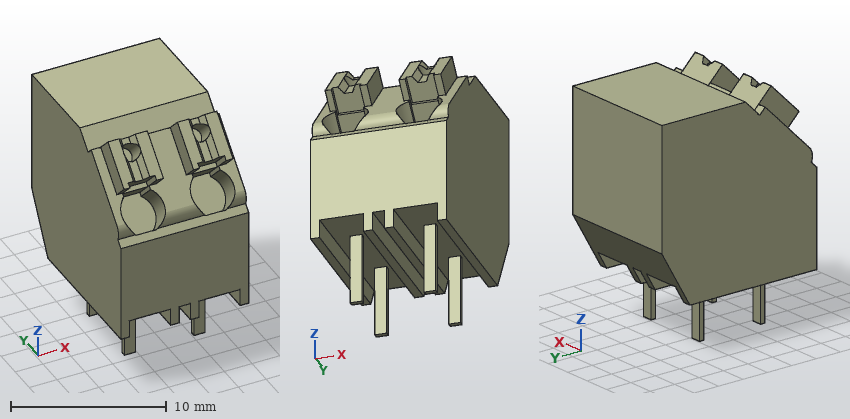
import cadquery as cq
import math


POLE_PITCH = 5.0
POLE_COUNT = 2
POLE_WIDTH = 4.2
POLE_LEFTS = [pole * POLE_PITCH for pole in range(POLE_COUNT)]
WIDTH = POLE_LEFTS[-1] + POLE_WIDTH

DEPTH = 12.7
HEIGHT = 12.86
FRONT_HEIGHT = 7.03
REAR_CHAMFER_DEPTH = 2.3
REAR_CHAMFER_HEIGHT = 4.05
FOOT_WIDTH = 0.62
FOOT_HEIGHT = 1.25
LIP_SETBACK = 0.43
LIP_FRONT = 0.35
LIP_NOSE_HEIGHT = 7.8

SLOPE = math.sqrt(0.5)
STEP_HEIGHT = 0.63
FACE_LENGTH = 5.23

BUTTON_TOP_Y = 3.2
BUTTON_TOP_Z = 13.16
BUTTON_CENTER = 2.1
BUTTON_WIDTH = 2.83
BUTTON_LENGTH = 3.25
BUTTON_RISE = 1.45
NOTCH_WIDTH = 1.92
NOTCH_LENGTH = 0.33
NOTCH_SINK = 0.32
GROOVE_CENTER = 2.07
GROOVE_TOP_WIDTH = 1.17
GROOVE_FLOOR_WIDTH = 0.55
GROOVE_DEPTH = 0.48
SOCKET_DIAMETER = 1.2
SOCKET_SETBACK = 0.98
SOCKET_DEPTH = 1.75

ENTRY_CENTER = 2.05
ENTRY_DIAMETER = 3.03
ENTRY_DROP = 4.7
ENTRY_FLAT_DROP = 6.03
ENTRY_DEPTH = 1.88

PIN_CENTER = 2.12
PIN_WIDTH = 0.8
PIN_THICKNESS = 0.37
OVERALL_HEIGHT = 16.66
PIN_BOTTOM = BUTTON_TOP_Z - OVERALL_HEIGHT
PIN_ROWS = [3.07, 8.06]

STEP_TOP_Y = BUTTON_TOP_Y + BUTTON_RISE * SLOPE
STEP_TOP_Z = BUTTON_TOP_Z - BUTTON_RISE * SLOPE
STEP_FOOT_Y = STEP_TOP_Y + STEP_HEIGHT * SLOPE
STEP_FOOT_Z = STEP_TOP_Z - STEP_HEIGHT * SLOPE
LIP_START_Y = STEP_TOP_Y - FACE_LENGTH * SLOPE
LIP_START_Z = STEP_TOP_Z - FACE_LENGTH * SLOPE
TOP_FRONT_Y = STEP_FOOT_Y + HEIGHT - STEP_FOOT_Z


def face_plane(x, height=0.0):
    """Plane parallel to the operating face, its origin at the step and its Y axis up the slope."""
    origin = (x, STEP_TOP_Y - height * SLOPE, STEP_TOP_Z + height * SLOPE)
    return cq.Workplane(cq.Plane(origin=origin, xDir=(1, 0, 0), normal=(0, -1, 1)))


def face_block(x, width, low, high, bottom, top):
    """Block centred on x, between two distances along the slope and two heights square to it."""
    return (
        face_plane(x, bottom)
        .center(0, (low + high) / 2)
        .rect(width, high - low)
        .extrude(top - bottom)
    )


def button_blank(pole_left):
    """Plain button, reaching down to the floor of the wire entry."""
    x = pole_left + BUTTON_CENTER
    return face_block(x, BUTTON_WIDTH, -BUTTON_LENGTH, 0, -ENTRY_DEPTH, BUTTON_RISE)


def button_groove(x):
    """Groove with sloping sides along the top of the button."""
    origin = (x, BUTTON_TOP_Y, BUTTON_TOP_Z)
    rear_end = cq.Plane(origin=origin, xDir=(1, 0, 0), normal=(0, -1, -1))
    return (
        cq.Workplane(rear_end)
        .moveTo(-GROOVE_TOP_WIDTH / 2, 0)
        .lineTo(-GROOVE_FLOOR_WIDTH / 2, -GROOVE_DEPTH)
        .lineTo(GROOVE_FLOOR_WIDTH / 2, -GROOVE_DEPTH)
        .lineTo(GROOVE_TOP_WIDTH / 2, 0)
        .close()
        .extrude(BUTTON_LENGTH)
    )


def make_button(pole_left):
    """Push button with a grooved top, a round tool socket and a notch in its lower end."""
    x = pole_left + GROOVE_CENTER
    notch_end = NOTCH_LENGTH - BUTTON_LENGTH
    notch = face_block(x, NOTCH_WIDTH, -BUTTON_LENGTH, notch_end, -NOTCH_SINK, BUTTON_RISE)
    socket = (
        face_plane(x, BUTTON_RISE)
        .center(0, -SOCKET_SETBACK)
        .circle(SOCKET_DIAMETER / 2)
        .extrude(-SOCKET_DEPTH)
    )
    return button_blank(pole_left).cut(button_groove(x)).cut(socket).cut(notch)


def wire_entry(pole_left):
    """Round blind hole with a flat lower wall and a straight throat up to the button."""
    x = pole_left + ENTRY_CENTER
    mouth = BUTTON_RISE
    bore = (
        face_plane(x, -ENTRY_DEPTH)
        .center(0, -ENTRY_DROP)
        .circle(ENTRY_DIAMETER / 2)
        .extrude(ENTRY_DEPTH + mouth)
    )
    limits = face_block(x, ENTRY_DIAMETER, -ENTRY_FLAT_DROP, -BUTTON_LENGTH, -ENTRY_DEPTH, mouth)
    throat = face_block(x, NOTCH_WIDTH, -ENTRY_DROP, -BUTTON_LENGTH, -ENTRY_DEPTH, mouth)
    return bore.intersect(limits).union(throat)


def housing_blank():
    """Side profile of the housing across its full width."""
    return (
        cq.Workplane("YZ")
        .moveTo(0, 0)
        .lineTo(0, FRONT_HEIGHT)
        .lineTo(LIP_SETBACK, FRONT_HEIGHT + LIP_SETBACK)
        .threePointArc((LIP_FRONT, LIP_NOSE_HEIGHT), (LIP_START_Y, LIP_START_Z))
        .lineTo(STEP_TOP_Y, STEP_TOP_Z)
        .lineTo(STEP_FOOT_Y, STEP_FOOT_Z)
        .lineTo(TOP_FRONT_Y, HEIGHT)
        .lineTo(DEPTH, HEIGHT)
        .lineTo(DEPTH, REAR_CHAMFER_HEIGHT)
        .lineTo(DEPTH - REAR_CHAMFER_DEPTH, 0)
        .close()
        .extrude(WIDTH)
    )


def foot_gap(left, right):
    """Channel between two feet, open at the front and the rear."""
    return cq.Workplane("XY").box(right - left, DEPTH, FOOT_HEIGHT, centered=False).translate((left, 0, 0))


def make_housing():
    """Housing with its wire entries, button pockets and underside channels."""
    body = housing_blank()
    for left in POLE_LEFTS:
        body = body.cut(wire_entry(left)).cut(button_blank(left))
        body = body.cut(foot_gap(left + FOOT_WIDTH, left + POLE_WIDTH - FOOT_WIDTH))
    for left in POLE_LEFTS[1:]:
        body = body.cut(foot_gap(left - POLE_PITCH + POLE_WIDTH, left))
    return body


def make_pin(pole_left, y):
    """Flat solder pin hanging from the underside of the housing."""
    return (
        cq.Workplane("XY", origin=(pole_left + PIN_CENTER, y, PIN_BOTTOM))
        .rect(PIN_WIDTH, PIN_THICKNESS)
        .extrude(FOOT_HEIGHT - PIN_BOTTOM)
    )


housing = make_housing()
buttons = [make_button(left) for left in POLE_LEFTS]
pins = [make_pin(left, y) for left in POLE_LEFTS for y in PIN_ROWS]

result = cq.Compound.makeCompound([body.val() for body in [housing, *buttons, *pins]])